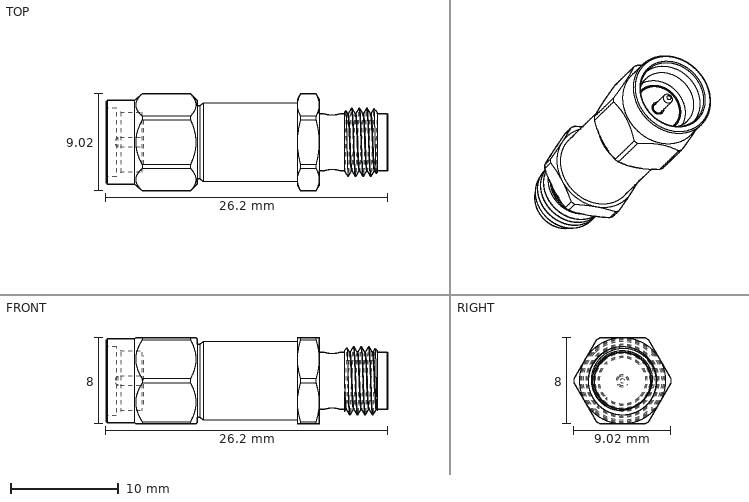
import cadquery as cq
import math


HEX_SIDES = 6
HEX_ACROSS_FLATS = 8.0
HEX_CORNER_D = 9.02

NUT_RING_D = 7.81
NUT_RIM_CHAMFER = 0.13
NUT_HEX_START = 2.64
NUT_HEX_END = 8.47
NUT_FRONT_CHAMFER_LENGTH = 0.72
NUT_REAR_CHAMFER_LENGTH = 0.63

NECK_D = 6.8
NECK_END = 8.7
BODY_D = 7.3
BODY_SHOULDER = 9.02

BODY_HEX_START = 17.75
BODY_HEX_END = 19.78
BODY_HEX_CHAMFER_ANGLE = 30.0

SPIGOT_D = 5.33
GROOVE_START = 20.2
GROOVE_END = 21.74
GROOVE_DEPTH = 0.13
THREAD_START = 22.1
THREAD_END = 25.17
THREAD_END_D = 5.6
TIP_CHAMFER_LENGTH = 0.1
TIP_CHAMFER_DEPTH = 0.05
TOTAL_LENGTH = 26.16

THREAD_PITCH = 25.4 / 36
THREAD_MAJOR_D = 6.35
THREAD_MINOR_D = 5.5
THREAD_CREST_WIDTH = 0.05
INNER_ROOT_WIDTH = 0.1
THREAD_FLANK_ANGLE = 30.0
OUTER_CREST_ON_TOP = 22.97
INNER_ROOT_ON_TOP = 1.207

SOCKET_MOUTH_D = 6.62
SOCKET_ENTRY_D = 6.4
SOCKET_DEPTH = 3.35
SOCKET_THREAD_START = 0.95

INSULATOR_D = 4.52
INSULATOR_FACE_D = 4.3
INSULATOR_BORE_D = 4.57
INSULATOR_GAP_DEPTH = 0.1
PIN_D = 0.91
PIN_BORE_D = 1.17
PIN_BORE_DEPTH = 0.1
PIN_TIP_D = 0.4
PIN_TIP = 0.85
PIN_TAPER_LENGTH = 0.25

OVERLAP = 0.05


def revolve_about_x(outline):
    return outline.close().revolve(360, (0, 0, 0), (1, 0, 0))


def rod(start, end, diameter):
    return cq.Workplane("YZ", origin=(start, 0, 0)).circle(diameter / 2).extrude(end - start)


def tube(start, end, outer_d, inner_d):
    return rod(start, end, outer_d).cut(rod(start, end, inner_d))


def chamfered_hex(start, end, front_d, front_length, rear_d, rear_length):
    """Hex prism with flats on top and bottom, its corners turned down and its ends coned."""
    across_corners = HEX_ACROSS_FLATS / math.cos(math.pi / HEX_SIDES)
    prism = (
        cq.Workplane("YZ", origin=(start, 0, 0))
        .polygon(HEX_SIDES, across_corners)
        .extrude(end - start)
    )
    envelope = revolve_about_x(
        cq.Workplane("XY")
        .moveTo(start, 0)
        .lineTo(start, front_d / 2)
        .lineTo(start + front_length, HEX_CORNER_D / 2)
        .lineTo(end - rear_length, HEX_CORNER_D / 2)
        .lineTo(end, rear_d / 2)
        .lineTo(end, 0)
    )
    return prism.intersect(envelope)


def thread_ridge(start, turns, base_r, crest_r, crest_width):
    """Right-handed ridge about the X axis whose crest passes straight above the axis at `start`."""
    sunk_r = base_r - OVERLAP
    half_crest = crest_width / 2
    half_base = half_crest + (crest_r - sunk_r) * math.tan(math.radians(THREAD_FLANK_ANGLE))
    path = cq.Wire.makeHelix(THREAD_PITCH, turns * THREAD_PITCH, base_r)
    ridge = (
        cq.Workplane("XZ")
        .polyline([(sunk_r, -half_base), (crest_r, -half_crest), (crest_r, half_crest), (sunk_r, half_base)])
        .close()
        .sweep(cq.Workplane(path), isFrenet=True)
    )
    along_x = ridge.rotate((0, 0, 0), (0, 1, 0), 90)
    return along_x.rotate((0, 0, 0), (1, 0, 0), 180).translate((start, 0, 0))


def make_nut():
    rim = rod(0, NUT_HEX_START + OVERLAP, NUT_RING_D).faces("<X").chamfer(NUT_RIM_CHAMFER)
    rear_d = HEX_CORNER_D - 2 * NUT_REAR_CHAMFER_LENGTH
    nut_hex = chamfered_hex(
        NUT_HEX_START, NUT_HEX_END, NUT_RING_D, NUT_FRONT_CHAMFER_LENGTH, rear_d, NUT_REAR_CHAMFER_LENGTH
    )
    return rim.union(nut_hex)


def make_body():
    barrel = revolve_about_x(
        cq.Workplane("XY")
        .moveTo(NUT_HEX_END - OVERLAP, 0)
        .lineTo(NUT_HEX_END - OVERLAP, NECK_D / 2)
        .lineTo(NECK_END, NECK_D / 2)
        .lineTo(BODY_SHOULDER, BODY_D / 2)
        .lineTo(BODY_HEX_START + OVERLAP, BODY_D / 2)
        .lineTo(BODY_HEX_START + OVERLAP, 0)
    )
    chamfer_depth = (HEX_CORNER_D - HEX_ACROSS_FLATS) / 2
    chamfer_length = chamfer_depth * math.tan(math.radians(BODY_HEX_CHAMFER_ANGLE))
    body_hex = chamfered_hex(
        BODY_HEX_START, BODY_HEX_END, HEX_ACROSS_FLATS, chamfer_length, HEX_ACROSS_FLATS, chamfer_length
    )
    return barrel.union(body_hex)


def make_spigot():
    """Plain core of the female end, with a shallow rounded groove and a small chamfer at the tip."""
    radius = SPIGOT_D / 2
    return revolve_about_x(
        cq.Workplane("XY")
        .moveTo(BODY_HEX_END - OVERLAP, 0)
        .lineTo(BODY_HEX_END - OVERLAP, radius)
        .lineTo(GROOVE_START, radius)
        .threePointArc(((GROOVE_START + GROOVE_END) / 2, radius - GROOVE_DEPTH), (GROOVE_END, radius))
        .lineTo(TOTAL_LENGTH - TIP_CHAMFER_LENGTH, radius)
        .lineTo(TOTAL_LENGTH, radius - TIP_CHAMFER_DEPTH)
        .lineTo(TOTAL_LENGTH, 0)
    )


def make_outer_thread():
    """Thread ridge around the spigot, with both ends turned down at 45 degrees."""
    start = OUTER_CREST_ON_TOP - 3 * THREAD_PITCH
    turns = math.ceil((THREAD_END - start) / THREAD_PITCH) + 1
    ridge = thread_ridge(start, turns, SPIGOT_D / 2, THREAD_MAJOR_D / 2, THREAD_CREST_WIDTH)
    blank_r = THREAD_MAJOR_D / 2 + OVERLAP
    end_r = THREAD_END_D / 2
    run = blank_r - end_r
    blank = revolve_about_x(
        cq.Workplane("XY")
        .moveTo(THREAD_START, 0)
        .lineTo(THREAD_START, end_r)
        .lineTo(THREAD_START + run, blank_r)
        .lineTo(THREAD_END - run, blank_r)
        .lineTo(THREAD_END, end_r)
        .lineTo(THREAD_END, 0)
    )
    return ridge.intersect(blank)


def make_socket_bore():
    """Space removed from the nut: coned mouth, plain entry, then a cone down to the minor diameter."""
    mouth_length = (SOCKET_MOUTH_D - SOCKET_ENTRY_D) / 2
    cone_length = (SOCKET_ENTRY_D - THREAD_MINOR_D) / 2
    return revolve_about_x(
        cq.Workplane("XY")
        .lineTo(0, SOCKET_MOUTH_D / 2)
        .lineTo(mouth_length, SOCKET_ENTRY_D / 2)
        .lineTo(SOCKET_THREAD_START, SOCKET_ENTRY_D / 2)
        .lineTo(SOCKET_THREAD_START + cone_length, THREAD_MINOR_D / 2)
        .lineTo(SOCKET_DEPTH, THREAD_MINOR_D / 2)
        .lineTo(SOCKET_DEPTH, 0)
    )


def make_socket_thread_groove():
    """Helical groove cut into the socket wall, ending at the socket floor."""
    start = INNER_ROOT_ON_TOP - 2 * THREAD_PITCH
    turns = math.ceil((SOCKET_DEPTH - start) / THREAD_PITCH) + 1
    groove = thread_ridge(start, turns, THREAD_MINOR_D / 2, THREAD_MAJOR_D / 2, INNER_ROOT_WIDTH)
    mouth_length = (SOCKET_MOUTH_D - SOCKET_ENTRY_D) / 2
    return groove.intersect(rod(mouth_length, SOCKET_DEPTH, NUT_RING_D))


def make_insulator_gaps():
    """Fine ring gaps outside the insulator, whose front edge is coned, and around the pin."""
    gap_floor = SOCKET_DEPTH + INSULATOR_GAP_DEPTH
    outer_gap = revolve_about_x(
        cq.Workplane("XY")
        .moveTo(SOCKET_DEPTH, INSULATOR_FACE_D / 2)
        .lineTo(gap_floor, INSULATOR_D / 2)
        .lineTo(gap_floor, INSULATOR_BORE_D / 2)
        .lineTo(SOCKET_DEPTH, INSULATOR_BORE_D / 2)
    )
    pin_gap = tube(SOCKET_DEPTH, SOCKET_DEPTH + PIN_BORE_DEPTH, PIN_BORE_D, PIN_D)
    return outer_gap.union(pin_gap)


def make_pin():
    return revolve_about_x(
        cq.Workplane("XY")
        .moveTo(PIN_TIP, 0)
        .lineTo(PIN_TIP, PIN_TIP_D / 2)
        .lineTo(PIN_TIP + PIN_TAPER_LENGTH, PIN_D / 2)
        .lineTo(SOCKET_DEPTH + OVERLAP, PIN_D / 2)
        .lineTo(SOCKET_DEPTH + OVERLAP, 0)
    )


threaded_nut = make_nut().cut(make_socket_bore()).cut(make_socket_thread_groove())

result = (
    threaded_nut
    .union(make_body())
    .union(make_spigot())
    .union(make_outer_thread())
    .cut(make_insulator_gaps())
    .union(make_pin())
)